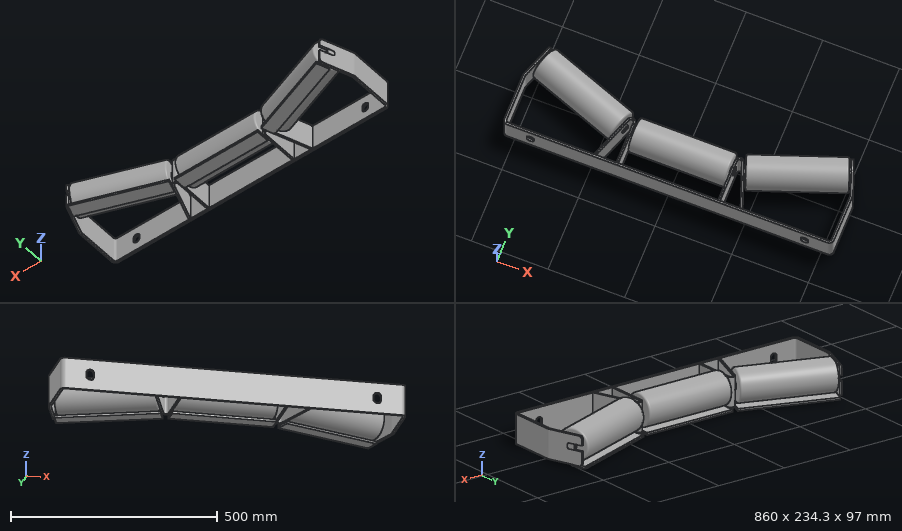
import cadquery as cq
import math

frame_length = 860.0
frame_height = 78.0
frame_thickness = 6.0
frame_corner_radius = 12.0
flange_bend_radius = 15.5
flange_corner_radius = 8.0
flange_reach = 32.0
mount_slot_offset = 358.0
mount_slot_width = 19.0
mount_slot_height = 27.0

tilt = 20.0
roller_diameter = 89.0
roller_length = 251.0
roller_edge_radius = 5.0
wall_gap = 261.0
axis_height = 46.5
centre_axis_y = 101.0
side_roller_x = 279.5
side_roller_y = 151.0

axle_radius = 10.0
tongue_height = 15.5
tongue_corner_radius = 7.0

bracket_thickness = 5.0
bracket_bend_radius = 11.0

plate_thickness = 6.0
plate_width = 39.0

half_gap = wall_gap / 2
sin_tilt = math.sin(math.radians(tilt))
cos_tilt = math.cos(math.radians(tilt))
tan_tilt = math.tan(math.radians(tilt))
cut_margin = 9.0

stations = [
    (-side_roller_x, side_roller_y, -tilt),
    (0.0, centre_axis_y, 0.0),
    (side_roller_x, side_roller_y, tilt),
]


def at_station(shape, station):
    """Move a shape built around a roller axis (along X, centred) to its station."""
    x, y, angle = station
    return shape.rotate((0, 0, 0), (0, 0, 1), angle).translate((x, y, axis_height))


def right_station_point(along, across):
    """Plan position given along and across the axis of the right-hand roller."""
    x = side_roller_x + along * cos_tilt - across * sin_tilt
    y = side_roller_y + along * sin_tilt + across * cos_tilt
    return (x, y)


def mirrored(points):
    return [(-x, y) for x, y in reversed(points)]


def tongue_pair(top):
    """Blocks filling the walls at both axle ends, from below the axis up to top, round at the bottom."""
    block = (
        cq.Workplane("YZ", origin=(half_gap, 0, 0))
        .center((top - axle_radius) / 2, 0)
        .rect(top + axle_radius, tongue_height)
        .extrude(frame_thickness)
        .edges("|X and <Y")
        .fillet(tongue_corner_radius)
    )
    return block.union(block.mirror("YZ"))


def make_frame():
    half_length = frame_length / 2
    t = frame_thickness
    bend_across = (side_roller_x + (half_gap + t) * cos_tilt - half_length) / sin_tilt
    bend = right_station_point(half_gap + t, bend_across)
    inner_bend = (half_length - t, bend[1] - t * math.tan(math.radians(tilt / 2)))
    outer = [(half_length, 0), bend, right_station_point(half_gap + t, flange_reach)]
    inner = [right_station_point(half_gap, flange_reach), inner_bend, (half_length - t, t)]
    half_outline = outer + inner
    frame = cq.Workplane("XY").polyline(half_outline + mirrored(half_outline)).close().extrude(frame_height)

    bends = [
        (outer[0], frame_corner_radius),
        (inner[2], frame_corner_radius - t),
        (bend, flange_bend_radius),
        (inner_bend, flange_bend_radius - t),
    ]
    for sign in (-1, 1):
        for (x, y), radius in bends:
            edge = cq.NearestToPointSelector((sign * x, y, frame_height / 2))
            frame = frame.edges(edge).fillet(radius)

    tip_x, tip_y = right_station_point(half_gap + t / 2, flange_reach)
    for sign in (-1, 1):
        for z in (0, frame_height):
            corner = cq.NearestToPointSelector((sign * tip_x, tip_y, z))
            frame = frame.edges(corner).fillet(flange_corner_radius)

    mount_slots = (
        cq.Workplane("XZ")
        .pushPoints([(-mount_slot_offset, frame_height / 2), (mount_slot_offset, frame_height / 2)])
        .slot2D(mount_slot_height, mount_slot_width, 90)
        .extrude(-t)
    )
    frame = frame.cut(mount_slots)

    axle_slots = tongue_pair(flange_reach + cut_margin)
    for station in (stations[0], stations[-1]):
        frame = frame.cut(at_station(axle_slots, station))
    return frame


def make_bracket(side):
    """Bracket right (side = 1) or left (side = -1) of the centre roller, standing on the base."""
    t = bracket_thickness
    foot_y = frame_thickness
    face_x, face_y = right_station_point(-half_gap, 0)

    def inclined_x(y, offset):
        return face_x - (y - face_y) * tan_tilt - offset / cos_tilt

    outer_apex = (half_gap, face_y + (face_x - half_gap) / tan_tilt)
    inner_apex = (half_gap + t, face_y + (face_x - t / cos_tilt - half_gap - t) / tan_tilt)
    outer = [(half_gap, foot_y), outer_apex, (inclined_x(foot_y, 0), foot_y)]
    inner = [(inclined_x(foot_y, t), foot_y), inner_apex, (half_gap + t, foot_y)]
    outline = [(side * x, y) for x, y in outer + inner]
    bracket = cq.Workplane("XY").polyline(outline).close().extrude(frame_height)
    for (x, y), radius in ((outer_apex, bracket_bend_radius), (inner_apex, bracket_bend_radius - t)):
        bend = cq.NearestToPointSelector((side * x, y, frame_height / 2))
        bracket = bracket.edges(bend).fillet(radius)
    for station in stations:
        bracket = bracket.cut(at_station(tongue_pair(axle_radius), station))
    return bracket


def make_roller(station):
    """Roller with its axle; the tongues reach through the walls that carry it."""
    drum = (
        cq.Workplane("YZ", origin=(-roller_length / 2, 0, 0))
        .circle(roller_diameter / 2)
        .extrude(roller_length)
        .edges()
        .fillet(roller_edge_radius)
    )
    axle = cq.Workplane("YZ").circle(axle_radius).extrude(half_gap, both=True)
    return at_station(drum.union(axle).union(tongue_pair(axle_radius)), station)


def make_plate(station):
    plate = (
        cq.Workplane("XY")
        .center(0, plate_width / 2)
        .rect(wall_gap, plate_width)
        .extrude(-plate_thickness)
        .translate((0, 0, -axis_height))
    )
    return at_station(plate, station)


frame = make_frame()
brackets = [make_bracket(side) for side in (-1, 1)]
rollers = [make_roller(station) for station in stations]
plates = [make_plate(station) for station in stations]

bodies = [frame] + brackets + rollers + plates
result = cq.Compound.makeCompound([body.val() for body in bodies])